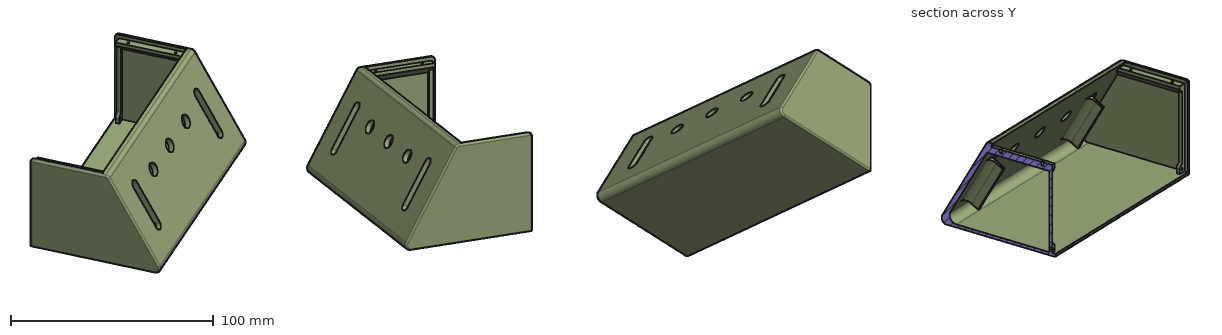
import cadquery as cq
import math

length = 120.0
depth = 68.6
height = 52.0

slope_angle = math.radians(60.2)
panel_thickness = 3.0
nose_radius = 3.1

side_steps = 3
side_reach = 6.0
wall_thickness = side_reach / side_steps

inner_nose_radius = 3.8
rim_corner_radius = wall_thickness
brow_radius = 2.5
edge_radius = 1.0

foot_tip_height = 4.9
foot_radius = 1.5
pilot_diameter = 1.0
pilot_depth = wall_thickness
ledge_pilot_x = (7.9, 32.9)
foot_pilot_z = 4.0

hole_diameter = 7.0
hole_spacing = 22.5
hole_up_slope = 40.0
slot_length = 29.0
slot_width = 5.0
slot_offset = 43.0
slot_up_slope = 31.7

bracket_length = 30.0
bracket_height = 8.5
bracket_thickness = 1.5
bracket_fillet = 4.0
bracket_up_slope = 31.0

bottom_corner_x = depth + nose_radius * (1 / math.tan(slope_angle / 2) - 1)
top_corner_x = bottom_corner_x - height / math.tan(slope_angle)
panel_run = panel_thickness / math.sin(slope_angle)
half_length = length / 2
inner_half = half_length - wall_thickness
frame_half = inner_half - wall_thickness
tip_y = half_length - side_reach
seat_x = wall_thickness
seat_z = height - wall_thickness

root_y = inner_half + wall_thickness / 2
floor_z = wall_thickness / 2


def prism(points, half_width):
    """Extrude an XZ outline to both sides of the Y = 0 plane."""
    return cq.Workplane("XZ").polyline(points).close().extrude(half_width, both=True)


def inner_face_x(z):
    return bottom_corner_x - panel_run - z / math.tan(slope_angle)


def panel_plane(up_slope, offset_y):
    """Plane on the sloped outer face: x runs along Y, y runs up the slope, normal points outward."""
    run = math.cos(slope_angle)
    rise = math.sin(slope_angle)
    origin = (bottom_corner_x - up_slope * run, offset_y, up_slope * rise)
    return cq.Plane(origin=origin, xDir=(0, 1, 0), normal=(rise, 0, run))


def outer_block():
    block = prism(
        [(0, 0), (bottom_corner_x, 0), (top_corner_x, height), (0, height)], half_length
    )
    block = block.edges("|Y and >X").fillet(nose_radius)
    block = block.edges("|Y and >Z").edges(">X").fillet(brow_radius)
    block = block.edges("|Y and >Z").edges("<X").fillet(rim_corner_radius)
    rounded_edges = block.faces("<Y or >Y").edges().add(block.edges("|Y and <X and <Z"))
    return rounded_edges.fillet(edge_radius)


def cavity():
    """Inner space, open at the top and at the -X end."""
    above = height + wall_thickness
    space = prism(
        [
            (-wall_thickness, wall_thickness),
            (inner_face_x(wall_thickness), wall_thickness),
            (inner_face_x(above), above),
            (-wall_thickness, above),
        ],
        inner_half,
    )
    return space.edges("|Y and >X").fillet(inner_nose_radius)


def wall_strip(points, strip_length):
    """Extrude a YZ outline from the lid seat toward +X, on both side walls."""
    strip = cq.Workplane("YZ", origin=(seat_x, 0, 0)).polyline(points).close().extrude(strip_length)
    return strip.union(strip.mirror("XZ"))


def lid_frame():
    """Jambs, ledges and feet that carry the lid."""
    ledge_tip_z = seat_z - wall_thickness
    jamb = wall_strip(
        [(frame_half, floor_z), (root_y, floor_z), (root_y, seat_z), (frame_half, seat_z)],
        wall_thickness,
    )
    ledge = wall_strip(
        [
            (root_y, seat_z),
            (tip_y, seat_z),
            (tip_y, ledge_tip_z),
            (root_y, ledge_tip_z - (root_y - tip_y)),
        ],
        inner_face_x(0) - seat_x,
    )
    below_panel = prism(
        [(0, 0), (inner_face_x(0), 0), (inner_face_x(height), height), (0, height)], half_length
    )
    return jamb.union(ledge.intersect(below_panel)).union(feet())


def feet():
    """Blocks at the foot of each jamb, topped by an S-curve: a convex arc below a concave one."""
    sweep = math.acos(1 - wall_thickness / (2 * foot_radius))
    top_z = foot_tip_height + 2 * foot_radius * math.sin(sweep)

    def arc_offset(angle):
        return foot_radius * (1 - math.cos(angle)), foot_radius * math.sin(angle)

    half_inset, half_rise = arc_offset(sweep / 2)
    inset, rise = arc_offset(sweep)
    foot = (
        cq.Workplane("YZ", origin=(seat_x, 0, 0))
        .moveTo(root_y, floor_z)
        .lineTo(tip_y, floor_z)
        .lineTo(tip_y, foot_tip_height)
        .threePointArc(
            (tip_y + half_inset, foot_tip_height + half_rise),
            (tip_y + inset, foot_tip_height + rise),
        )
        .threePointArc((frame_half - half_inset, top_z - half_rise), (frame_half, top_z))
        .lineTo(root_y, top_z)
        .close()
        .extrude(wall_thickness)
    )
    return foot.union(foot.mirror("XZ"))


def pilot_hole(position, direction):
    return cq.Solid.makeCylinder(
        pilot_diameter / 2, pilot_depth, cq.Vector(*position), cq.Vector(*direction)
    )


def pilot_holes():
    holes = cq.Workplane("XY")
    for y in (-frame_half, frame_half):
        for x in ledge_pilot_x:
            holes = holes.add(pilot_hole((x, y, seat_z), (0, 0, -1)))
        holes = holes.add(pilot_hole((seat_x, y, foot_pilot_z), (1, 0, 0)))
    return holes.combine()


def panel_openings():
    """Round holes and slots straight through the sloped panel."""
    openings = cq.Workplane("XY")
    for y in (-hole_spacing, 0, hole_spacing):
        hole = cq.Workplane(panel_plane(hole_up_slope, y)).circle(hole_diameter / 2)
        openings = openings.add(hole.extrude(2 * panel_thickness, both=True))
    for y in (-slot_offset, slot_offset):
        slot = cq.Workplane(panel_plane(slot_up_slope, y)).slot2D(slot_length, slot_width, 90)
        openings = openings.add(slot.extrude(2 * panel_thickness, both=True))
    return openings.combine()


def bracket(slot_y):
    """Plate square to the panel, flush with the +Y edge of a slot, with a concave root."""
    face = panel_plane(bracket_up_slope - bracket_length / 2, slot_y + slot_width / 2)
    profile_plane = cq.Plane(origin=face.origin, xDir=face.xDir, normal=face.yDir)
    buried = panel_thickness / 2
    tip = panel_thickness + bracket_height
    fillet_end = panel_thickness + bracket_fillet
    root_width = bracket_thickness + bracket_fillet
    arc_inset = bracket_fillet * (1 - math.sqrt(0.5))
    return (
        cq.Workplane(profile_plane)
        .moveTo(0, buried)
        .lineTo(0, tip)
        .lineTo(bracket_thickness, tip)
        .lineTo(bracket_thickness, fillet_end)
        .threePointArc(
            (bracket_thickness + arc_inset, panel_thickness + arc_inset),
            (root_width, panel_thickness),
        )
        .lineTo(root_width, buried)
        .close()
        .extrude(bracket_length)
    )


enclosure = outer_block().cut(cavity()).union(lid_frame())
for slot_y in (-slot_offset, slot_offset):
    enclosure = enclosure.union(bracket(slot_y))
result = enclosure.cut(panel_openings()).cut(pilot_holes())